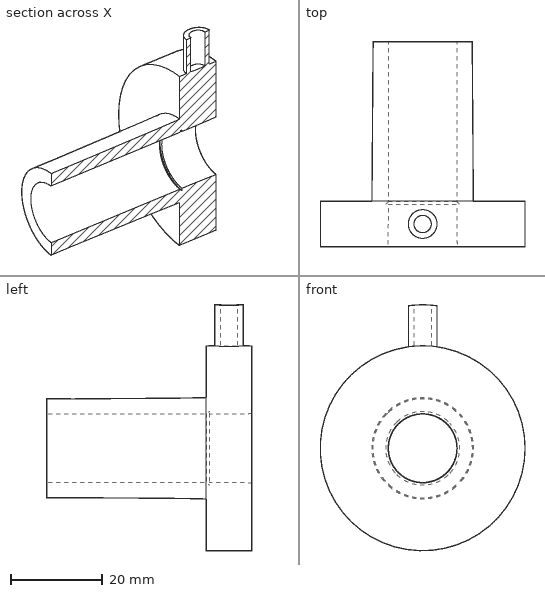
import cadquery as cq

flange_diameter = 45.0
flange_thickness = 10.0

spigot_length = 35.0
spigot_base_diameter = 22.3
spigot_tip_diameter = 21.8

bore_front_diameter = 15.2
bore_throat_diameter = 15.0

groove_front_y = 9.3
groove_depth = 0.6

tube_diameter = 6.3
tube_bore_diameter = 3.8
tube_height = 9.0

overall_length = flange_thickness + spigot_length
flange_radius = flange_diameter / 2
throat_radius = bore_throat_diameter / 2


def turned_body():
    """Flange, spigot, bore and groove as one half section revolved about the Y axis."""
    return (
        cq.Workplane("XY")
        .moveTo(bore_front_diameter / 2, 0)
        .lineTo(flange_radius, 0)
        .lineTo(flange_radius, flange_thickness)
        .lineTo(spigot_base_diameter / 2, flange_thickness)
        .lineTo(spigot_tip_diameter / 2, overall_length)
        .lineTo(throat_radius, overall_length)
        .lineTo(throat_radius, groove_front_y + groove_depth)
        .lineTo(throat_radius + groove_depth, groove_front_y)
        .lineTo(throat_radius, groove_front_y)
        .close()
        .revolve(360, (0, 0, 0), (0, 1, 0))
    )


def flange_envelope():
    """Solid cylinder with the outer size of the flange."""
    return cq.Workplane("XZ").circle(flange_radius).extrude(-flange_thickness)


def radial_tube():
    """Tube at mid-thickness of the flange, both ends shaped by the curve of the flange rim."""
    tube_stock = (
        cq.Workplane("XY", origin=(0, flange_thickness / 2, 0))
        .circle(tube_diameter / 2)
        .circle(tube_bore_diameter / 2)
        .extrude(flange_radius + tube_height)
    )
    raised_envelope = flange_envelope().translate((0, 0, tube_height))
    return tube_stock.intersect(raised_envelope).cut(flange_envelope())


result = turned_body().union(radial_tube())